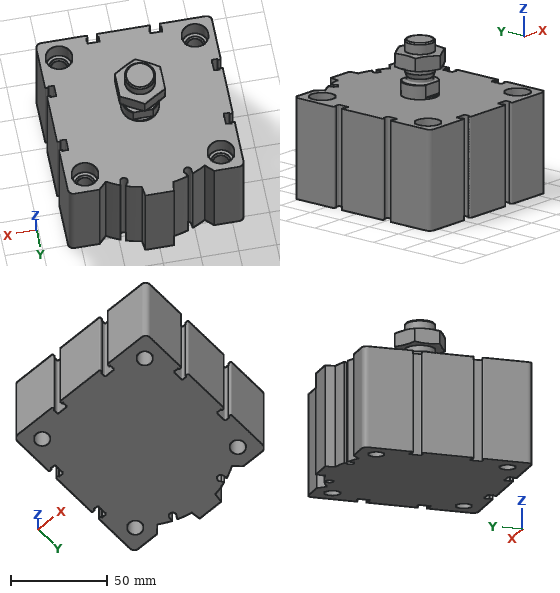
import cadquery as cq
import math

SIDE = 93.0
HALF = SIDE / 2
HEIGHT = 55.0
CORNER_RADIUS = 3.0

CROWN_RADIUS = 49.8
TAB_TOP_Y = 54.5
TAB_TOP_WIDTH = 15.2
TAB_BASE_WIDTH = 16.6
SHOULDER_X = 30.3

KEYHOLE_X = 16.9
KEYHOLE_Y = 43.85
KEYHOLE_RADIUS = 2.0
KEYHOLE_OUTER_LIP = (19.1, 46.1)
KEYHOLE_INNER_LIP = (16.5, 47.0)
KEYHOLE_OVERCUT = 2.0

SLOT_OFFSET = 16.6
SLOT_MOUTH = 5.1
SLOT_WIDTH = 6.5
SLOT_DEPTH = 4.8
SLOT_LIP = 1.8
SLOT_EDGE_RADIUS = 0.5

HOLE_PITCH = 72.0
HOLE_DIA = 8.5
COUNTERBORE_DIA = 14.0
COUNTERBORE_DEPTH = 9.5
COUNTERSINK_DIA = 10.3

ROD_TOP = 85.0
COLLAR_DIA = 20.0
COLLAR_HEIGHT = 7.8
COLLAR_CHAMFER = 0.3
FLATS_WIDTH = 17.0
FLATS_BASE = 1.0
NECK_DIA = 13.9
NECK_FLARE = 0.8
NECK_TOP = 10.1
RELIEF_TOP = 12.8
THREAD_DIA = 16.0
THREAD_TIP_DIA = 14.38

NUT_FLATS = 24.0
NUT_HEIGHT = 8.0
NUT_BASE = HEIGHT + 15.9
NUT_CHAMFER_ANGLE = 15.0
NUT_TURN = 30.0


def crown_y(x):
    """Y of the crown arc at a given X."""
    return math.sqrt(CROWN_RADIUS**2 - x**2)


def crown_foot():
    """Point where the 45 degree shoulder line meets the crown arc."""
    drop = SHOULDER_X - HALF
    x = (drop + math.sqrt(2 * CROWN_RADIUS**2 - drop**2)) / 2
    return x, x - drop


def make_outline():
    """Solid block with the crown and tab on its +Y side."""
    foot_x, foot_y = crown_foot()
    base_x = TAB_BASE_WIDTH / 2
    base_y = crown_y(base_x)
    tip_x = TAB_TOP_WIDTH / 2
    mid_x = (foot_x + base_x) / 2
    mid_y = crown_y(mid_x)
    block = (
        cq.Workplane("XY")
        .moveTo(-HALF, -HALF)
        .lineTo(HALF, -HALF)
        .lineTo(HALF, HALF)
        .lineTo(SHOULDER_X, HALF)
        .lineTo(foot_x, foot_y)
        .threePointArc((mid_x, mid_y), (base_x, base_y))
        .lineTo(tip_x, TAB_TOP_Y)
        .lineTo(-tip_x, TAB_TOP_Y)
        .lineTo(-base_x, base_y)
        .threePointArc((-mid_x, mid_y), (-foot_x, foot_y))
        .lineTo(-SHOULDER_X, HALF)
        .lineTo(-HALF, HALF)
        .close()
        .extrude(HEIGHT)
    )
    rounded = cq.Workplane("XY").rect(SIDE, SIDE).extrude(HEIGHT).edges("|Z").fillet(CORNER_RADIUS)
    tab_column = cq.Workplane("XY").rect(2 * SHOULDER_X, 2 * TAB_TOP_Y).extrude(HEIGHT)
    return block.intersect(rounded.union(tab_column))


def make_t_slot(offset):
    """T-slot cutter for the -Y side, centred on X = offset, with a mouth flared by round edges."""
    flared = SLOT_MOUTH / 2 + SLOT_EDGE_RADIUS
    mouth = (
        cq.Workplane("XY")
        .moveTo(-flared, 0)
        .radiusArc((-SLOT_MOUTH / 2, SLOT_EDGE_RADIUS), -SLOT_EDGE_RADIUS)
        .lineTo(-SLOT_MOUTH / 2, SLOT_LIP)
        .lineTo(SLOT_MOUTH / 2, SLOT_LIP)
        .lineTo(SLOT_MOUTH / 2, SLOT_EDGE_RADIUS)
        .radiusArc((flared, 0), -SLOT_EDGE_RADIUS)
        .close()
        .extrude(HEIGHT)
    )
    inner = (
        cq.Workplane("XY")
        .box(SLOT_WIDTH, SLOT_DEPTH - SLOT_LIP, HEIGHT, centered=(True, False, False))
        .edges("|Z and >Y")
        .fillet(SLOT_EDGE_RADIUS)
        .translate((0, SLOT_LIP, 0))
    )
    return mouth.union(inner).translate((offset, -HALF, 0))


def make_keyhole():
    """Keyhole groove cutter for the +X half of the crown."""
    outer_x, outer_y = KEYHOLE_OUTER_LIP
    inner_x, inner_y = KEYHOLE_INNER_LIP
    throat = (
        cq.Workplane("XY")
        .moveTo(KEYHOLE_X + KEYHOLE_RADIUS, KEYHOLE_Y)
        .lineTo(outer_x, outer_y)
        .lineTo(outer_x, outer_y + KEYHOLE_OVERCUT)
        .lineTo(inner_x, inner_y + KEYHOLE_OVERCUT)
        .lineTo(inner_x, inner_y)
        .lineTo(KEYHOLE_X - KEYHOLE_RADIUS, KEYHOLE_Y)
        .close()
        .extrude(HEIGHT)
    )
    root = cq.Workplane("XY").center(KEYHOLE_X, KEYHOLE_Y).circle(KEYHOLE_RADIUS).extrude(HEIGHT)
    return throat.union(root)


def make_hole():
    """Stepped mounting-hole cutter on the Z axis."""
    floor = HEIGHT - COUNTERBORE_DEPTH
    sink_depth = (COUNTERSINK_DIA - HOLE_DIA) / 2
    return (
        cq.Workplane("XZ")
        .moveTo(0, 0)
        .lineTo(HOLE_DIA / 2, 0)
        .lineTo(HOLE_DIA / 2, floor - sink_depth)
        .lineTo(COUNTERSINK_DIA / 2, floor)
        .lineTo(COUNTERBORE_DIA / 2, floor)
        .lineTo(COUNTERBORE_DIA / 2, HEIGHT)
        .lineTo(0, HEIGHT)
        .close()
        .revolve(360, (0, 0, 0), (0, 1, 0))
    )


def make_housing():
    body = make_outline()
    for turn in (-90, 0, 90):
        for offset in (-SLOT_OFFSET, SLOT_OFFSET):
            body = body.cut(make_t_slot(offset).rotate((0, 0, 0), (0, 0, 1), turn))
    keyhole = make_keyhole()
    body = body.cut(keyhole).cut(keyhole.mirror("YZ"))
    hole = make_hole()
    for x in (-HOLE_PITCH / 2, HOLE_PITCH / 2):
        for y in (-HOLE_PITCH / 2, HOLE_PITCH / 2):
            body = body.cut(hole.translate((x, y, 0)))
    return body


def make_rod():
    collar = COLLAR_DIA / 2
    neck = NECK_DIA / 2
    thread = THREAD_DIA / 2
    tip = THREAD_TIP_DIA / 2
    length = ROD_TOP - HEIGHT
    shaft = (
        cq.Workplane("XZ")
        .moveTo(0, 0)
        .lineTo(collar, 0)
        .lineTo(collar, COLLAR_HEIGHT - COLLAR_CHAMFER)
        .lineTo(collar - COLLAR_CHAMFER, COLLAR_HEIGHT)
        .lineTo(neck + NECK_FLARE, COLLAR_HEIGHT)
        .radiusArc((neck, COLLAR_HEIGHT + NECK_FLARE), NECK_FLARE)
        .lineTo(neck, NECK_TOP)
        .lineTo(thread, RELIEF_TOP)
        .lineTo(thread, length - (thread - tip))
        .lineTo(tip, length)
        .lineTo(0, length)
        .close()
        .revolve(360, (0, 0, 0), (0, 1, 0))
    )
    flat_depth = (COLLAR_DIA - FLATS_WIDTH) / 2
    for side in (-1, 1):
        flat = (
            cq.Workplane("XY")
            .box(COLLAR_DIA, flat_depth, COLLAR_HEIGHT - FLATS_BASE, centered=(True, True, False))
            .translate((0, side * (FLATS_WIDTH + flat_depth) / 2, FLATS_BASE))
        )
        shaft = shaft.cut(flat)
    return shaft.translate((0, 0, HEIGHT))


def make_nut():
    corner = NUT_FLATS / math.sqrt(3)
    chamfer_radius = NUT_FLATS / 2
    drop = (corner - chamfer_radius) * math.tan(math.radians(NUT_CHAMFER_ANGLE))
    hexagon = (
        cq.Workplane("XY")
        .polygon(6, 2 * corner)
        .extrude(NUT_HEIGHT)
        .rotate((0, 0, 0), (0, 0, 1), NUT_TURN)
    )
    envelope = (
        cq.Workplane("XZ")
        .moveTo(0, 0)
        .lineTo(chamfer_radius, 0)
        .lineTo(corner, drop)
        .lineTo(corner, NUT_HEIGHT - drop)
        .lineTo(chamfer_radius, NUT_HEIGHT)
        .lineTo(0, NUT_HEIGHT)
        .close()
        .revolve(360, (0, 0, 0), (0, 1, 0))
    )
    bore = cq.Workplane("XY").circle(THREAD_DIA / 2).extrude(NUT_HEIGHT)
    return hexagon.intersect(envelope).cut(bore).translate((0, 0, NUT_BASE))


housing = make_housing()
rod = make_rod()
nut = make_nut()

result = cq.Compound.makeCompound([housing.val(), rod.val(), nut.val()])